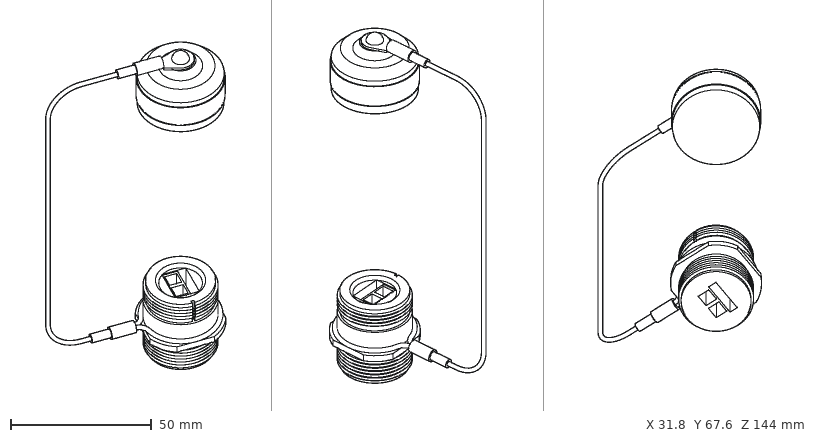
import cadquery as cq
import math

CABLE_DIA = 1.7
CABLE_RADIUS = CABLE_DIA / 2
CABLE_DROP_Y = -50.8
CABLE_BEND = 12.7
BARREL_DIA = 4.6
NECK_DIA = 3.3
TOTAL_HEIGHT = 144.0
UPPER_AXIS_Z = TOTAL_HEIGHT - BARREL_DIA / 2
LOWER_AXIS_Z = 15.5

CAP_BOTTOM_Z = 119.6
CAP_BAND_BOTTOM_Z = 123.1
CAP_BAND_TOP_Z = 131.7
CAP_BEVEL_Z = 133.9
CAP_TOP_Z = 137.4
CAP_BOSS_TOP_Z = 140.0
CAP_DIA = 31.1
CAP_BAND_DIA = 31.8
CAP_TOP_DIA = 24.5
CAP_BOSS_BASE_DIA = 15.7
CAP_BOSS_TOP_DIA = 11.0

LUG_THICKNESS = 0.9
LUG_TOP_Z = CAP_BOSS_TOP_Z + LUG_THICKNESS
LUG_HEAD_RADIUS = 4.9
LUG_BARREL_Y = -7.3
LUG_NECK_Y = -17.4
LUG_END_Y = -24.3

RIVET_TOP_Z = 143.5
RIVET_HEAD_RADIUS = 3.2
RIVET_SHANK_DIA = 3.5
RIVET_SHANK_DEPTH = 1.7

SLEEVE_START_Y = -17.7
SLEEVE_NECK_Y = -27.0
SLEEVE_END_Y = -34.4
STRAND_OFFSET = 0.7

HOUSING_HEIGHT = 32.0
HOUSING_DIA = 24.9
COLLAR_DIA = 26.8
COLLAR_TOP_Z = 22.9
FLANGE_DIA = 32.4
FLANGE_BOTTOM_Z = 12.1
FLANGE_TOP_Z = LOWER_AXIS_Z - CABLE_RADIUS
FLANGE_ACROSS_FLATS = 29.1
THREAD_DIA = COLLAR_DIA
THREAD_PITCH = 1.5
THREAD_BASE = 1.0
THREAD_OVERLAP = 0.7
LOWER_THREAD_Z = 1.7
LOWER_THREAD_COUNT = 6
UPPER_THREAD_Z = 25.5
UPPER_THREAD_COUNT = 4
KEYWAY_FLOOR_RADIUS = 11.4
KEYWAY_WIDTH = 1.0
MOUTH_DIA = 17.9
MOUTH_FLOOR_DIA = 15.5
MOUTH_DEPTH = 1.3
RECESS_WIDTH = 13.0
RECESS_FRONT_Y = -4.5
RECESS_BACK_Y = 4.6
RECESS_DEPTH = 0.5
PORT_WIDTH = 4.8
PORT_PITCH = 6.2
PORT_FRONT_Y = -3.9
PORT_BACK_Y = 0.7
LATCH_SLOT_FRONT_Y = 1.5


def disc(diameter, bottom, top):
    """Vertical cylinder on the Z axis between two heights."""
    return cq.Workplane("XY").workplane(offset=bottom).circle(diameter / 2).extrude(top - bottom)


def box_between(x_min, x_max, y_min, y_max, z_min, z_max):
    """Box given by its limits along the three axes."""
    size = (x_max - x_min, y_max - y_min, z_max - z_min)
    return cq.Workplane("XY").box(*size, centered=False).translate((x_min, y_min, z_min))


def rod_along_y(diameter, start_y, end_y, axis_z):
    """Cylinder in the plane X = 0 running toward -Y from start_y to end_y."""
    start = cq.Workplane("XZ", origin=(0, start_y, axis_z))
    return start.circle(diameter / 2).extrude(start_y - end_y)


def stepped_barrel(start_y, neck_y, end_y, axis_z):
    """Crimped end: a large barrel followed by a thinner neck."""
    barrel = rod_along_y(BARREL_DIA, start_y, neck_y, axis_z)
    return barrel.union(rod_along_y(NECK_DIA, neck_y, end_y, axis_z))


def make_cap():
    """Turned cap with a wider band, a bevelled top and a conical boss."""
    profile = [
        (0, CAP_BOTTOM_Z),
        (CAP_DIA / 2, CAP_BOTTOM_Z),
        (CAP_DIA / 2, CAP_BAND_BOTTOM_Z),
        (CAP_BAND_DIA / 2, CAP_BAND_BOTTOM_Z),
        (CAP_BAND_DIA / 2, CAP_BAND_TOP_Z),
        (CAP_DIA / 2, CAP_BAND_TOP_Z),
        (CAP_DIA / 2, CAP_BEVEL_Z),
        (CAP_TOP_DIA / 2, CAP_TOP_Z),
        (CAP_BOSS_BASE_DIA / 2, CAP_TOP_Z),
        (CAP_BOSS_TOP_DIA / 2, CAP_BOSS_TOP_Z),
        (0, CAP_BOSS_TOP_Z),
    ]
    return cq.Workplane("XZ").polyline(profile).close().revolve(360, (0, 0), (0, 1))


def make_rivet():
    """Domed head resting on the lug, with a shank into the cap."""
    head_height = RIVET_TOP_Z - LUG_TOP_Z
    dome_radius = (RIVET_HEAD_RADIUS**2 + head_height**2) / (2 * head_height)
    dome = cq.Workplane("XY").sphere(dome_radius).translate((0, 0, RIVET_TOP_Z - dome_radius))
    head = dome.intersect(disc(2 * dome_radius, LUG_TOP_Z, RIVET_TOP_Z))
    return head.union(disc(RIVET_SHANK_DIA, CAP_BOSS_TOP_Z - RIVET_SHANK_DEPTH, LUG_TOP_Z))


def make_lug():
    """Flat teardrop tongue joined to a stepped barrel."""
    half_barrel = BARREL_DIA / 2
    corner_distance = math.hypot(half_barrel, LUG_BARREL_Y)
    corner_angle = math.atan2(LUG_BARREL_Y, half_barrel)
    tangent_angle = corner_angle + math.acos(LUG_HEAD_RADIUS / corner_distance)
    tangent_x = LUG_HEAD_RADIUS * math.cos(tangent_angle)
    tangent_y = LUG_HEAD_RADIUS * math.sin(tangent_angle)
    tongue = (
        cq.Workplane("XY").workplane(offset=CAP_BOSS_TOP_Z)
        .moveTo(half_barrel, LUG_BARREL_Y)
        .lineTo(tangent_x, tangent_y)
        .threePointArc((0, LUG_HEAD_RADIUS), (-tangent_x, tangent_y))
        .lineTo(-half_barrel, LUG_BARREL_Y)
        .close().extrude(LUG_THICKNESS)
    )
    return tongue.union(stepped_barrel(LUG_BARREL_Y, LUG_NECK_Y, LUG_END_Y, UPPER_AXIS_Z))


def make_cable_run():
    """Cable from the lug neck, down the long run and back through the sleeve."""
    corner = CABLE_BEND * (1 - math.sqrt(0.5))
    bend_y = CABLE_DROP_Y + CABLE_BEND
    path = (
        cq.Workplane("YZ")
        .moveTo(LUG_NECK_Y, UPPER_AXIS_Z)
        .lineTo(bend_y, UPPER_AXIS_Z)
        .threePointArc(
            (CABLE_DROP_Y + corner, UPPER_AXIS_Z - corner),
            (CABLE_DROP_Y, UPPER_AXIS_Z - CABLE_BEND),
        )
        .lineTo(CABLE_DROP_Y, LOWER_AXIS_Z + CABLE_BEND)
        .threePointArc((CABLE_DROP_Y + corner, LOWER_AXIS_Z + corner), (bend_y, LOWER_AXIS_Z))
        .lineTo(SLEEVE_START_Y, LOWER_AXIS_Z)
    )
    start = cq.Workplane("XZ", origin=(0, LUG_NECK_Y, UPPER_AXIS_Z))
    return start.circle(CABLE_RADIUS).sweep(path)


def make_cable_loop():
    """Loop around the collar whose two strands curve into the sleeve side by side."""
    ring_radius = COLLAR_DIA / 2 + CABLE_RADIUS
    curve_radius = (STRAND_OFFSET**2 + SLEEVE_START_Y**2 - ring_radius**2) / (
        2 * (ring_radius - STRAND_OFFSET)
    )
    centre_x = STRAND_OFFSET + curve_radius
    centre_angle = math.atan2(SLEEVE_START_Y, centre_x)
    tangent_x = ring_radius * math.cos(centre_angle)
    tangent_y = ring_radius * math.sin(centre_angle)
    middle_angle = math.pi + centre_angle / 2
    middle_x = centre_x + curve_radius * math.cos(middle_angle)
    middle_y = SLEEVE_START_Y + curve_radius * math.sin(middle_angle)
    path = (
        cq.Workplane("XY", origin=(0, 0, LOWER_AXIS_Z))
        .moveTo(STRAND_OFFSET, SLEEVE_NECK_Y)
        .lineTo(STRAND_OFFSET, SLEEVE_START_Y)
        .threePointArc((middle_x, middle_y), (tangent_x, tangent_y))
        .threePointArc((ring_radius, 0), (0, ring_radius))
    )
    start = cq.Workplane("XZ", origin=(STRAND_OFFSET, SLEEVE_NECK_Y, LOWER_AXIS_Z))
    half_loop = start.circle(CABLE_RADIUS).sweep(path)
    return half_loop.union(half_loop.mirror("YZ"))


def make_cable():
    """One cable: the hanging run and its loop, joined inside the sleeve."""
    return make_cable_run().union(make_cable_loop())


def thread_ridge(crest_z):
    """One V-shaped ring ridge around the housing."""
    root_radius = HOUSING_DIA / 2
    core_radius = root_radius - THREAD_OVERLAP
    half_base = THREAD_BASE / 2
    profile = [
        (core_radius, crest_z - half_base),
        (root_radius, crest_z - half_base),
        (THREAD_DIA / 2, crest_z),
        (root_radius, crest_z + half_base),
        (core_radius, crest_z + half_base),
    ]
    return cq.Workplane("XZ").polyline(profile).close().revolve(360, (0, 0), (0, 1))


def make_flange():
    """Round flange with four flats."""
    flange = disc(FLANGE_DIA, FLANGE_BOTTOM_Z, FLANGE_TOP_Z)
    half = FLANGE_ACROSS_FLATS / 2
    return flange.intersect(box_between(-half, half, -half, half, FLANGE_BOTTOM_Z, FLANGE_TOP_Z))


def make_ports():
    """Conical mouth, shallow recess, two through ports and their shared through latch slot."""
    floor_z = HOUSING_HEIGHT - MOUTH_DEPTH
    mouth = (
        cq.Workplane("XY").workplane(offset=floor_z).circle(MOUTH_FLOOR_DIA / 2)
        .workplane(offset=MOUTH_DEPTH).circle(MOUTH_DIA / 2).loft()
    )
    half_width = RECESS_WIDTH / 2
    recess = box_between(
        -half_width, half_width, RECESS_FRONT_Y, RECESS_BACK_Y, floor_z - RECESS_DEPTH, floor_z
    )
    latch_slot = box_between(-half_width, half_width, LATCH_SLOT_FRONT_Y, RECESS_BACK_Y, 0, floor_z)
    openings = mouth.union(recess).union(latch_slot)
    for side in (-1, 1):
        port_x = side * PORT_PITCH / 2
        port = box_between(
            port_x - PORT_WIDTH / 2, port_x + PORT_WIDTH / 2, PORT_FRONT_Y, PORT_BACK_Y, 0, floor_z
        )
        openings = openings.union(port)
    return openings


def make_housing():
    """Threaded connector housing with collar, flange, keyway and ports."""
    housing = disc(HOUSING_DIA, 0, HOUSING_HEIGHT)
    housing = housing.union(disc(COLLAR_DIA, FLANGE_TOP_Z, COLLAR_TOP_Z)).union(make_flange())
    for first_z, count in (
        (LOWER_THREAD_Z, LOWER_THREAD_COUNT),
        (UPPER_THREAD_Z, UPPER_THREAD_COUNT),
    ):
        for index in range(count):
            housing = housing.union(thread_ridge(first_z + index * THREAD_PITCH))
    keyway = box_between(
        KEYWAY_FLOOR_RADIUS, THREAD_DIA, -KEYWAY_WIDTH / 2, KEYWAY_WIDTH / 2,
        COLLAR_TOP_Z, HOUSING_HEIGHT,
    )
    return housing.cut(keyway).cut(make_ports())


rivet = make_rivet()
cable = make_cable()
cap = make_cap().cut(rivet)
lug = make_lug().cut(rivet).cut(cable)
sleeve = stepped_barrel(SLEEVE_START_Y, SLEEVE_NECK_Y, SLEEVE_END_Y, LOWER_AXIS_Z).cut(cable)
housing = make_housing()

result = cq.Compound.makeCompound(
    [housing.val(), cap.val(), rivet.val(), lug.val(), sleeve.val(), cable.val()]
)